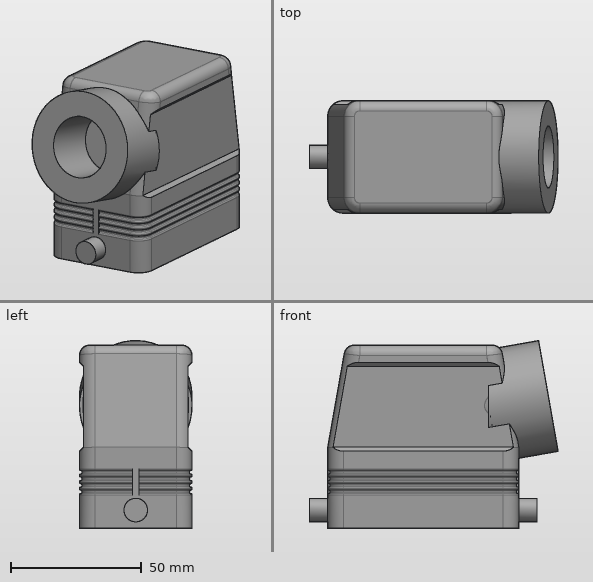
import cadquery as cq
import math

BODY_LENGTH = 73.0
BODY_WIDTH = 43.0
BODY_HEIGHT = 70.0
SHOULDER_HEIGHT = 31.0
LEAN_ANGLE = 10.0
CORNER_RADIUS = 6.0
TOP_RADIUS = 4.0

PANEL_DEPTH = 1.5
PANEL_BOTTOM = SHOULDER_HEIGHT - PANEL_DEPTH
PANEL_TOP = 63.4

GROOVE_COUNT = 4
GROOVE_WIDTH = 1.3
GROOVE_PITCH = 2.5
LOWEST_GROOVE_Z = 13.95
GROOVE_RIM_RADIUS = 0.5
GROOVE_FLOOR_RADIUS = 0.4
GROOVE_DEPTH = GROOVE_RIM_RADIUS + GROOVE_FLOOR_RADIUS
CUT_CLEARANCE = 0.5
GROOVE_GAP = 2.5

PIN_DIAMETER = 9.0
PIN_HEIGHT = 7.0
PIN_SPAN = 87.0

ENTRY_DIAMETER = BODY_WIDTH
BORE_DIAMETER = 23.6
ENTRY_FACE_X = 47.79
ENTRY_FACE_Z = 50.57
ENTRY_ROOT_X = 25.0
COLLAR_ROOT_RADIUS = 20.0
COLLAR_FACE_RADIUS = 20.4
COLLAR_OVERHANG = 1.6
COLLAR_LENGTH = 2.6

ARC_MID_INSET = 1 - math.sqrt(0.5)

LEAN = math.radians(LEAN_ANGLE)
ENTRY_AXIS = cq.Vector(math.cos(LEAN), 0, math.sin(LEAN))
ENTRY_FACE_CENTER = cq.Vector(ENTRY_FACE_X, 0, ENTRY_FACE_Z)
ROOT_DISTANCE = (ENTRY_FACE_X - ENTRY_ROOT_X) / math.cos(LEAN)


def make_body():
    half_length = BODY_LENGTH / 2
    half_top = half_length - (BODY_HEIGHT - SHOULDER_HEIGHT) * math.tan(LEAN)
    outline = [
        (-half_length, 0),
        (half_length, 0),
        (half_length, SHOULDER_HEIGHT),
        (half_top, BODY_HEIGHT),
        (-half_top, BODY_HEIGHT),
        (-half_length, SHOULDER_HEIGHT),
    ]
    body = cq.Workplane("XZ").polyline(outline).close().extrude(BODY_WIDTH / 2, both=True)
    body = body.edges("not (|X or |Y)").fillet(CORNER_RADIUS)
    return body.faces(">Z").edges().fillet(TOP_RADIUS)


def make_side_panel(side):
    outer = side * BODY_WIDTH / 2
    inner = side * (BODY_WIDTH / 2 - PANEL_DEPTH)
    section = [
        (outer, PANEL_BOTTOM),
        (inner, PANEL_BOTTOM + PANEL_DEPTH),
        (inner, PANEL_TOP - PANEL_DEPTH),
        (outer, PANEL_TOP),
    ]
    return cq.Workplane("YZ").polyline(section).close().extrude(BODY_LENGTH / 2, both=True)


def make_groove(center_z):
    """Groove along one long side and its corners, up to the plain strips of the end walls."""
    wall_x = -BODY_LENGTH / 2
    outside_x = wall_x - CUT_CLEARANCE
    wall_y = BODY_WIDTH / 2
    floor_x = wall_x + GROOVE_DEPTH
    flank_x = wall_x + GROOVE_RIM_RADIUS
    half_width = GROOVE_WIDTH / 2
    half_mouth = half_width + GROOVE_RIM_RADIUS
    half_floor = half_width - GROOVE_FLOOR_RADIUS
    rim_mid = GROOVE_RIM_RADIUS * ARC_MID_INSET
    floor_mid = GROOVE_FLOOR_RADIUS * ARC_MID_INSET

    section = (
        cq.Workplane("XZ", origin=(0, GROOVE_GAP / 2, center_z))
        .moveTo(outside_x, half_mouth)
        .lineTo(wall_x, half_mouth)
        .threePointArc((wall_x + rim_mid, half_width + rim_mid), (flank_x, half_width))
        .threePointArc((floor_x - floor_mid, half_width - floor_mid), (floor_x, half_floor))
        .lineTo(floor_x, -half_floor)
        .threePointArc((floor_x - floor_mid, floor_mid - half_width), (flank_x, -half_width))
        .threePointArc((wall_x + rim_mid, -half_width - rim_mid), (wall_x, -half_mouth))
        .lineTo(outside_x, -half_mouth)
        .close()
    )
    path = (
        cq.Workplane("XY", origin=(0, 0, center_z))
        .moveTo(wall_x, GROOVE_GAP / 2)
        .lineTo(wall_x, wall_y - CORNER_RADIUS)
        .tangentArcPoint((wall_x + CORNER_RADIUS, wall_y), relative=False)
        .lineTo(-wall_x - CORNER_RADIUS, wall_y)
        .tangentArcPoint((-wall_x, wall_y - CORNER_RADIUS), relative=False)
        .lineTo(-wall_x, GROOVE_GAP / 2)
    )
    return section.sweep(path)


def make_pins():
    plane = cq.Workplane("YZ").center(0, PIN_HEIGHT)
    return plane.circle(PIN_DIAMETER / 2).extrude(PIN_SPAN / 2, both=True)


def entry_plane(distance):
    """Plane square to the entry axis, at a distance inwards from the outer face."""
    return cq.Workplane(cq.Plane(ENTRY_FACE_CENTER - ENTRY_AXIS * distance, (0, 1, 0), ENTRY_AXIS))


def make_spigot():
    """Tilted cylinder, started far enough in to be trimmed by the upright root face."""
    rough_length = ROOT_DISTANCE + ENTRY_DIAMETER / 2 * math.tan(LEAN)
    spigot = entry_plane(rough_length).circle(ENTRY_DIAMETER / 2).extrude(rough_length)
    inward_side = (
        cq.Workplane("YZ", origin=(ENTRY_ROOT_X, 0, ENTRY_FACE_Z))
        .rect(2 * ENTRY_DIAMETER, 2 * ENTRY_DIAMETER)
        .extrude(-ENTRY_DIAMETER)
    )
    return spigot.cut(inward_side)


def make_collar():
    collar = entry_plane(ROOT_DISTANCE + COLLAR_OVERHANG).circle(COLLAR_ROOT_RADIUS)
    return collar.workplane(offset=COLLAR_LENGTH).circle(COLLAR_FACE_RADIUS).loft()


def make_bore():
    """Blind bore reaching from the outer face to the spigot root."""
    return entry_plane(ROOT_DISTANCE).circle(BORE_DIAMETER / 2).extrude(ROOT_DISTANCE)


result = make_body()
for side in (-1, 1):
    result = result.cut(make_side_panel(side))
for index in range(GROOVE_COUNT):
    groove = make_groove(LOWEST_GROOVE_Z + index * GROOVE_PITCH)
    result = result.cut(groove).cut(groove.mirror("XZ"))
result = result.union(make_pins()).union(make_collar()).union(make_spigot())
result = result.cut(make_bore())